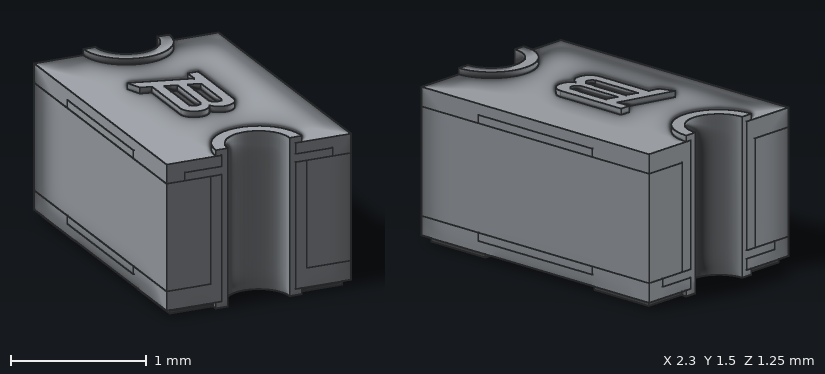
import cadquery as cq


LENGTH = 2.3
WIDTH = 1.5
CORE_HEIGHT = 0.849
LAYER_THICKNESS = 0.152
PLATING_THICKNESS = 0.048

BORE_RADIUS = 0.25
BARREL_RADIUS = 0.301
FLANGE_RADIUS = 0.35
COLLAR_RADIUS = 0.39

FOIL_THICKNESS = 0.065
FOIL_END_WIDTH = 1.2
FOIL_MIDDLE_LENGTH = LENGTH / 2

PAD_LENGTH = 0.55
PAD_WIDTH = 1.4
PAD_END_INSET = 0.05

MARK_TOP = 0.22
MARK_BOTTOM = -MARK_TOP
BAR_BOTTOM = 0.133
SLOT_INNER_EDGE = 0.037

MARK_LEFT = -0.37
STEM_TOP_X = -0.25
STEM_TIP = (-0.377, -0.355)
STEM_FOOT = (-0.253, -0.308)
STEM_CORNER_X = -0.235
UPPER_BOWL_START_X = 0.245
UPPER_BOWL_MIDDLE = (0.355, 0.108)
BOWL_NOTCH = (0.295, 0)
LOWER_BOWL_MIDDLE = (0.368, -0.113)
LOWER_BOWL_END_X = 0.267

CORE_TOP = CORE_HEIGHT / 2
BODY_TOP = CORE_TOP + LAYER_THICKNESS
PART_TOP = BODY_TOP + PLATING_THICKNESS

LEFT, RIGHT = -1, 1
LOWER, UPPER = -1, 1


def block(x_range, width, z_range):
    """Box across two X limits and two Z limits, centred on Y."""
    x_min, x_max = sorted(x_range)
    z_min, z_max = sorted(z_range)
    return (
        cq.Workplane("XY")
        .box(x_max - x_min, width, z_max - z_min, centered=(False, True, False))
        .translate((x_min, 0, z_min))
    )


def half_round(end, radius, z_range):
    """Half cylinder standing on an end face, with its round side toward the middle."""
    z_min, z_max = sorted(z_range)
    end_x = end * LENGTH / 2
    cylinder = cq.Workplane("XY", origin=(end_x, 0, z_min)).circle(radius).extrude(z_max - z_min)
    return cylinder.intersect(block((0, end_x), WIDTH, z_range))


def foil(end, face):
    """Electrode on one core face: a strip from the end, and a middle part of full width."""
    z_range = (face * CORE_TOP, face * (CORE_TOP + FOIL_THICKNESS))
    half_middle = FOIL_MIDDLE_LENGTH / 2
    strip = block((end * LENGTH / 2, 0), FOIL_END_WIDTH, z_range)
    middle = block((-half_middle, half_middle), WIDTH, z_range)
    return strip.union(middle)


def make_terminal(end, foil_face):
    """Plated barrel with a flange on each face, a solder pad below, and its electrode foil."""
    pad_start = end * (LENGTH / 2 - PAD_END_INSET)
    pad_end = pad_start - end * PAD_LENGTH
    terminal = half_round(end, BARREL_RADIUS, (-PART_TOP, PART_TOP))
    for face in (LOWER, UPPER):
        terminal = terminal.union(half_round(end, FLANGE_RADIUS, (face * BODY_TOP, face * PART_TOP)))
    terminal = terminal.union(block((pad_start, pad_end), PAD_WIDTH, (-PART_TOP, -BODY_TOP)))
    terminal = terminal.union(foil(end, foil_face))
    return terminal.cut(half_round(end, BORE_RADIUS, (-PART_TOP, PART_TOP)))


def make_core():
    """Middle block with a half-round recess at each end."""
    core_z = (-CORE_TOP, CORE_TOP)
    core = block((-LENGTH / 2, LENGTH / 2), WIDTH, core_z)
    for end in (LEFT, RIGHT):
        core = core.cut(half_round(end, COLLAR_RADIUS, core_z))
    return core


def make_insulation(face, foil_end):
    """Layer over one core face and its foil, with a collar around the opposite barrel."""
    layer = block((-LENGTH / 2, LENGTH / 2), WIDTH, (face * CORE_TOP, face * BODY_TOP))
    collar = half_round(-foil_end, COLLAR_RADIUS, (-CORE_TOP, CORE_TOP))
    insulation = layer.union(collar).cut(foil(foil_end, face))
    for end in (LEFT, RIGHT):
        insulation = insulation.cut(half_round(end, BARREL_RADIUS, (-BODY_TOP, BODY_TOP)))
    return insulation


def marking_slot(top_left, top_right, round_middle, bottom_right, bottom_left):
    """Cutter for one slot of the B, rounded at its right end."""
    return (
        cq.Workplane("XY", origin=(0, 0, BODY_TOP))
        .moveTo(*top_left)
        .lineTo(*top_right)
        .threePointArc(round_middle, bottom_right)
        .lineTo(*bottom_left)
        .close()
        .extrude(PLATING_THICKNESS)
    )


def make_marking():
    """Raised joined letters T and B, with the two slots of the B cut through."""
    letters = (
        cq.Workplane("XY", origin=(0, 0, BODY_TOP))
        .moveTo(MARK_LEFT, MARK_TOP)
        .lineTo(UPPER_BOWL_START_X, MARK_TOP)
        .threePointArc(UPPER_BOWL_MIDDLE, BOWL_NOTCH)
        .threePointArc(LOWER_BOWL_MIDDLE, (LOWER_BOWL_END_X, MARK_BOTTOM))
        .lineTo(STEM_CORNER_X, MARK_BOTTOM)
        .lineTo(*STEM_FOOT)
        .lineTo(*STEM_TIP)
        .lineTo(STEM_TOP_X, BAR_BOTTOM)
        .lineTo(MARK_LEFT, BAR_BOTTOM)
        .close()
        .extrude(PLATING_THICKNESS)
    )
    upper_slot = marking_slot(
        top_left=(-0.138, BAR_BOTTOM),
        top_right=(0.225, BAR_BOTTOM),
        round_middle=(0.25, 0.085),
        bottom_right=(0.202, SLOT_INNER_EDGE),
        bottom_left=(-0.163, SLOT_INNER_EDGE),
    )
    lower_slot = marking_slot(
        top_left=(-0.182, -SLOT_INNER_EDGE),
        top_right=(0.21, -SLOT_INNER_EDGE),
        round_middle=(0.258, -0.085),
        bottom_right=(0.225, -BAR_BOTTOM),
        bottom_left=(-0.21, -BAR_BOTTOM),
    )
    return letters.cut(upper_slot).cut(lower_slot)


core = make_core()
left_terminal = make_terminal(LEFT, LOWER)
right_terminal = make_terminal(RIGHT, UPPER)
lower_insulation = make_insulation(LOWER, LEFT)
upper_insulation = make_insulation(UPPER, RIGHT)
marking = make_marking()

bodies = [core, left_terminal, right_terminal, lower_insulation, upper_insulation, marking]
result = cq.Compound.makeCompound([body.solids().val() for body in bodies])